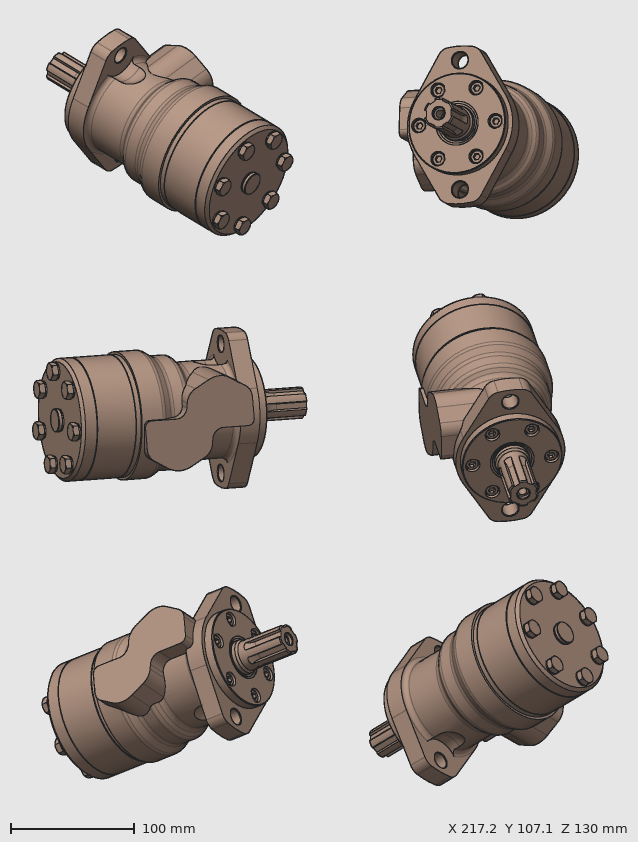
import cadquery as cq
import math


COLLAR_START = 42.5
PILOT_FRONT = 46.5
FLANGE_FRONT = 54.3
FLANGE_REAR = 70.8
PLATE_FRONT = 159.6
RING_FRONT = 163.8
END_COVER_FRONT = 197.9
END_COVER_REAR = 210.7
MOTOR_REAR = 217.2

SHAFT_R = 25.5 / 2
COLLAR_R = 28.5 / 2
COLLAR_TAPER = 2.0
TIP_CHAMFER_LENGTH = 0.7
TIP_CHAMFER_HEIGHT = 1.3
SPLINE_COUNT = 6
SPLINE_WIDTH = 6.3
SPLINE_MINOR_R = 10.5
SPLINE_LENGTH = 26.3
SPLINE_RUNOUT = 9.8
CENTER_HOLE_R = 6.7 / 2
CENTER_HOLE_DEPTH = 17.4
CENTER_CONE_DEPTH = 2.0
COUNTERBORE_R = 10.0 / 2
COUNTERBORE_DEPTH = 3.5
COUNTERSINK = 0.7

PILOT_R = 41.3
PILOT_CHAMFER = 0.7
SEAL_RIM_R = 36.0 / 2
SEAL_RECESS_R = 32.5 / 2
SEAL_LIP_R = 29.0 / 2
SEAL_STEP_DEPTH = 0.7
SCREW_COUNT = 6
SCREW_CIRCLE_R = 32.5
SCREW_POCKET_R = 12.0 / 2
SCREW_POCKET_DEPTH = 3.3
SCREW_HEAD_R = 10.0 / 2
SCREW_HEAD_HEIGHT = 1.5
SCREW_SOCKET_FLATS = 5.0
SCREW_SOCKET_DEPTH = 3.3

FLANGE_SIDE_R = 45.0
FLANGE_TIP_R = 65.0
FLANGE_CORNER_R = 10.9
FLANGE_SIDE_ANGLE = 30
MOUNT_HOLE_R = 13.2 / 2
MOUNT_HOLE_OFFSET = 53.2
MOUNT_HOLE_CHAMFER = 0.7
POCKET_R = 19.0
POCKET_STRAIGHT = 9.8

NECK_R = 40.2
NECK_FILLET = 4.3
MIDDLE_R = 46.7
HOUSING_R = 52.1
FIRST_RAMP_START = 109.7
FIRST_RAMP_END = 116.2
FIRST_RAMP_FOOT_R = 7.4
FIRST_RAMP_CREST_R = 5.5
SECOND_RAMP_START = 131.0
SECOND_RAMP_END = 139.7
SECOND_RAMP_FOOT_R = 7.0
SECOND_RAMP_CREST_R = 5.6

PORT_FACE_Y = 55.0
PORT_CENTER_X = 110.5
LEDGE_Z = 4.8
UPPER_LOBE = [
    (62.8, -LEDGE_Z, 5.2),
    (65.4, 25.2, 12.0),
    (93.0, 41.0, 20.0),
    (121.0, 25.0, 14.1),
    (122.5, LEDGE_Z, 9.3),
]

STACK_R = 100.0 / 2
RING_CHAMFER = 0.5
END_COVER_CHAMFER = 2.5
BOLT_COUNT = 7
BOLT_CIRCLE_R = 39.7
BOLT_START_ANGLE = -3.6
BOLT_FLATS = 13.0
BOLT_CHAMFER = 0.9
WASHER_R = 13.0 / 2
WASHER_HEIGHT = 1.3
PLUG_R = 19.0 / 2
PLUG_NECK_R = 18.0 / 2
PLUG_HEIGHT = 4.5
PLUG_CHAMFER = 0.5


def disc(x_start, x_end, radius, y=0.0, z=0.0):
    """Cylinder along X between two stations."""
    return cq.Workplane("YZ", origin=(x_start, y, z)).circle(radius).extrude(x_end - x_start)


def hexagon(x_start, x_end, flats, y, z, corner_angle=0.0):
    """Hexagonal prism along X, turned so that one corner points at corner_angle."""
    corner_circle = flats / math.cos(math.radians(30))
    prism = cq.Workplane("YZ").polygon(6, corner_circle).extrude(x_end - x_start)
    return prism.rotate((0, 0, 0), (1, 0, 0), corner_angle).translate((x_start, y, z))


def turned(profile):
    """Solid of revolution about X from (x, radius) points; the outline closes along the axis."""
    points = [(profile[0][0], 0), *profile]
    if profile[-1][1] > 0:
        points.append((profile[-1][0], 0))
    return cq.Workplane("XY").polyline(points).close().revolve(360, (0, 0, 0), (1, 0, 0))


def circle_points(count, radius, start_angle=0.0):
    """(y, z) positions spaced evenly on a circle."""
    angles = [math.radians(start_angle + 360 * i / count) for i in range(count)]
    return [(radius * math.cos(a), radius * math.sin(a)) for a in angles]


def rounded_outline(plane, corners):
    """Closed outline from (u, v, radius) corners; a radius of 0 leaves the corner sharp."""
    outline = cq.Workplane(plane)
    for i, (u, v, radius) in enumerate(corners):
        corner = cq.Vector(u, v)
        before = (cq.Vector(*corners[i - 1][:2]) - corner).normalized()
        after = (cq.Vector(*corners[(i + 1) % len(corners)][:2]) - corner).normalized()
        half_angle = before.getAngle(after) / 2
        setback = radius / math.tan(half_angle)
        bisector = (before + after).normalized()
        start = corner + before * setback
        middle = corner + bisector * (radius / math.sin(half_angle) - radius)
        end = corner + after * setback
        outline = outline.moveTo(start.x, start.y) if i == 0 else outline.lineTo(start.x, start.y)
        if radius > 0:
            outline = outline.threePointArc((middle.x, middle.y), (end.x, end.y))
    return outline.close()



def spline_groove():
    """Space between two splines, centred on +Y, with a run-out cut by a round milling cutter."""
    half_pitch = math.pi / SPLINE_COUNT
    rise = SHAFT_R - SPLINE_MINOR_R
    cutter_r = (SPLINE_RUNOUT ** 2 + rise ** 2) / (2 * rise)
    cutter_y = SPLINE_MINOR_R + cutter_r
    top_y = SHAFT_R + rise

    def wall_z(y):
        """Half width of the groove where its wall, parallel to the spline centre line, is at y."""
        return y * math.tan(half_pitch) - SPLINE_WIDTH / 2 / math.cos(half_pitch)

    wedge = (
        cq.Workplane("YZ")
        .polyline([
            (SPLINE_MINOR_R, -wall_z(SPLINE_MINOR_R)),
            (top_y, -wall_z(top_y)),
            (top_y, wall_z(top_y)),
            (SPLINE_MINOR_R, wall_z(SPLINE_MINOR_R)),
        ])
        .close()
        .extrude(COLLAR_START)
    )
    cutter_path = (
        cq.Workplane("XY")
        .rect(SPLINE_LENGTH, top_y, centered=False)
        .extrude(SHAFT_R, both=True)
        .union(
            cq.Workplane("XY")
            .center(SPLINE_LENGTH, cutter_y)
            .circle(cutter_r)
            .extrude(SHAFT_R, both=True)
        )
    )
    return wedge.intersect(cutter_path)


def make_shaft():
    body = turned([
        (0, SHAFT_R - TIP_CHAMFER_HEIGHT),
        (TIP_CHAMFER_LENGTH, SHAFT_R),
        (COLLAR_START, SHAFT_R),
        (COLLAR_START + COLLAR_TAPER, COLLAR_R),
        (FLANGE_REAR, COLLAR_R),
    ])
    groove = spline_groove()
    for i in range(SPLINE_COUNT):
        body = body.cut(groove.rotate((0, 0, 0), (1, 0, 0), i * 360 / SPLINE_COUNT))
    center_hole = turned([
        (0, COUNTERBORE_R + COUNTERSINK),
        (COUNTERSINK, COUNTERBORE_R),
        (COUNTERBORE_DEPTH, COUNTERBORE_R),
        (COUNTERBORE_DEPTH, CENTER_HOLE_R),
        (CENTER_HOLE_DEPTH, CENTER_HOLE_R),
        (CENTER_HOLE_DEPTH + CENTER_CONE_DEPTH, 0),
    ])
    return body.cut(center_hole)



def make_pilot_cover():
    cover = disc(PILOT_FRONT, FLANGE_FRONT, PILOT_R).faces("<X").chamfer(PILOT_CHAMFER)
    for step, radius in enumerate((SEAL_RIM_R, SEAL_RECESS_R, SEAL_LIP_R), start=1):
        cover = cover.cut(disc(PILOT_FRONT, PILOT_FRONT + step * SEAL_STEP_DEPTH, radius))
    cover = cover.cut(disc(PILOT_FRONT, FLANGE_FRONT, COLLAR_R))
    pocket_floor = PILOT_FRONT + SCREW_POCKET_DEPTH
    head_top = pocket_floor - SCREW_HEAD_HEIGHT
    for y, z in circle_points(SCREW_COUNT, SCREW_CIRCLE_R):
        cover = cover.cut(disc(PILOT_FRONT, pocket_floor, SCREW_POCKET_R, y, z))
        cover = cover.union(disc(head_top, pocket_floor, SCREW_HEAD_R, y, z))
        cover = cover.cut(hexagon(head_top, head_top + SCREW_SOCKET_DEPTH, SCREW_SOCKET_FLATS, y, z))
    return cover



def flange():
    """Two-hole flange: round sides, straight slanted flanks and round tips."""
    slant = math.radians(FLANGE_SIDE_ANGLE)
    tip_angle = slant + math.acos(FLANGE_SIDE_R / FLANGE_TIP_R)
    side_y = FLANGE_SIDE_R * math.cos(slant)
    side_z = FLANGE_SIDE_R * math.sin(slant)
    tip_y = FLANGE_TIP_R * math.cos(tip_angle)
    tip_z = FLANGE_TIP_R * math.sin(tip_angle)
    plate = (
        cq.Workplane("YZ", origin=(FLANGE_FRONT, 0, 0))
        .moveTo(side_y, -side_z)
        .threePointArc((FLANGE_SIDE_R, 0), (side_y, side_z))
        .lineTo(tip_y, tip_z)
        .threePointArc((0, FLANGE_TIP_R), (-tip_y, tip_z))
        .lineTo(-side_y, side_z)
        .threePointArc((-FLANGE_SIDE_R, 0), (-side_y, -side_z))
        .lineTo(-tip_y, -tip_z)
        .threePointArc((0, -FLANGE_TIP_R), (tip_y, -tip_z))
        .close()
        .extrude(FLANGE_REAR - FLANGE_FRONT)
    )
    tip_corners = plate.edges("|X").filter(lambda edge: abs(edge.Center().z) > FLANGE_SIDE_R)
    return plate.newObject(tip_corners.vals()).fillet(FLANGE_CORNER_R)


def barrel():
    """Turned body: a neck, a middle step and the large rear diameter, joined by smooth ramps."""
    return rounded_outline("XY", [
        (FLANGE_FRONT, 0, 0),
        (FLANGE_FRONT, FLANGE_SIDE_R, 0),
        (FLANGE_REAR, FLANGE_SIDE_R, 0),
        (FLANGE_REAR, NECK_R, NECK_FILLET),
        (FIRST_RAMP_START, NECK_R, FIRST_RAMP_FOOT_R),
        (FIRST_RAMP_END, MIDDLE_R, FIRST_RAMP_CREST_R),
        (SECOND_RAMP_START, MIDDLE_R, SECOND_RAMP_FOOT_R),
        (SECOND_RAMP_END, HOUSING_R, SECOND_RAMP_CREST_R),
        (PLATE_FRONT, HOUSING_R, 0),
        (PLATE_FRONT, 0, 0),
    ]).revolve(360, (0, 0, 0), (1, 0, 0))


def port_block():
    """Side block with two staggered lobes; the outline repeats after half a turn."""
    lower_lobe = [(2 * PORT_CENTER_X - x, -z, radius) for x, z, radius in UPPER_LOBE]
    return rounded_outline("XZ", UPPER_LOBE + lower_lobe).extrude(-PORT_FACE_Y)


def mount_hole(z):
    """Flange hole with both rims chamfered."""
    rim_r = MOUNT_HOLE_R + MOUNT_HOLE_CHAMFER
    return turned([
        (FLANGE_FRONT, rim_r),
        (FLANGE_FRONT + MOUNT_HOLE_CHAMFER, MOUNT_HOLE_R),
        (FLANGE_REAR - MOUNT_HOLE_CHAMFER, MOUNT_HOLE_R),
        (FLANGE_REAR, rim_r),
    ]).translate((0, 0, z))


def nut_pocket(z):
    """Round-ended clearance behind a flange hole."""
    pocket_end = FLANGE_REAR + POCKET_STRAIGHT
    ball = cq.Workplane("XY").sphere(POCKET_R).translate((pocket_end, 0, z))
    behind_flange = disc(FLANGE_REAR, pocket_end + POCKET_R, POCKET_R, 0, z)
    return disc(FLANGE_REAR, pocket_end, POCKET_R, 0, z).union(ball.intersect(behind_flange))


def make_housing():
    body = barrel().union(flange()).union(port_block())
    for z in (MOUNT_HOLE_OFFSET, -MOUNT_HOLE_OFFSET):
        body = body.cut(mount_hole(z)).cut(nut_pocket(z))
    return body.cut(disc(FLANGE_FRONT, FLANGE_REAR, COLLAR_R))



def make_spacer_plate():
    return disc(PLATE_FRONT, RING_FRONT, STACK_R)


def make_gear_ring():
    return disc(RING_FRONT, END_COVER_FRONT, STACK_R).edges().chamfer(RING_CHAMFER)


def bolt_head(y, z, corner_angle):
    """Hexagonal head with chamfered corners on a round bearing face."""
    head_start = END_COVER_REAR + WASHER_HEIGHT
    head = hexagon(head_start, MOTOR_REAR, BOLT_FLATS, y, z, corner_angle)
    corner_r = BOLT_FLATS / 2 / math.cos(math.radians(30))
    limit = disc(head_start, MOTOR_REAR, corner_r, y, z).faces(">X").chamfer(BOLT_CHAMFER)
    washer_face = disc(END_COVER_REAR, head_start, WASHER_R, y, z)
    return head.intersect(limit).union(washer_face)


def drain_plug():
    head_start = END_COVER_REAR + WASHER_HEIGHT
    head = disc(head_start, END_COVER_REAR + PLUG_HEIGHT, PLUG_R).faces(">X").chamfer(PLUG_CHAMFER)
    return head.union(disc(END_COVER_REAR, head_start, PLUG_NECK_R))


def make_end_cover():
    cover = disc(END_COVER_FRONT, END_COVER_REAR, STACK_R).faces(">X").chamfer(END_COVER_CHAMFER)
    corner_angle = BOLT_START_ANGLE + 360 / BOLT_COUNT
    for y, z in circle_points(BOLT_COUNT, BOLT_CIRCLE_R, BOLT_START_ANGLE):
        cover = cover.union(bolt_head(y, z, corner_angle))
    return cover.union(drain_plug())


shaft = make_shaft()
pilot_cover = make_pilot_cover()
housing = make_housing()
spacer_plate = make_spacer_plate()
gear_ring = make_gear_ring()
end_cover = make_end_cover()

result = cq.Compound.makeCompound([
    shaft.val(),
    pilot_cover.val(),
    housing.val(),
    spacer_plate.val(),
    gear_ring.val(),
    end_cover.val(),
])